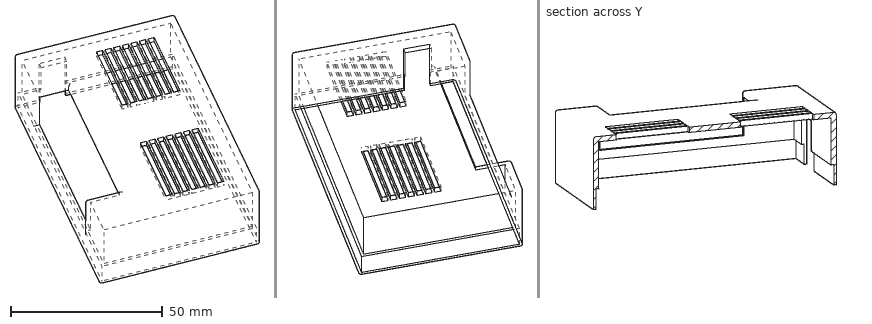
import cadquery as cq

LENGTH = 86.0
WIDTH = 56.0
HEIGHT = 25.0
WALL = 2.0
EDGE_ROUND = WALL / 2

REBATE_DEPTH = WALL / 2
REBATE_HEIGHT = 7.0

WINDOW_LEFT = 19.8 - LENGTH / 2
WINDOW_LENGTH = 50.9
WINDOW_SILL = 10.0
WINDOW_REACH = 12.0

SLOT_LENGTH = 25.7
SLOT_WIDTH = 2.15
SLOT_PITCH = 3.0
SLOT_COUNT = 7
BANK_OFFSET_X = 22.0
BANK_CENTER_Y = 8.0

NOTCH_FRONT_MARGIN = 8.7
NOTCH_WIDTH = 8.95
NOTCH_HEIGHT = 17.4


def box_between(low, high):
    """Box spanning two opposite corners."""
    size = [b - a for a, b in zip(low, high)]
    return cq.Workplane("XY").box(*size, centered=False).translate(low)


def inner_block(wall, height):
    """Block filling the inside of the cover up to a height, for a given wall."""
    return cq.Workplane("XY").box(
        LENGTH - 2 * wall, WIDTH - 2 * wall, height, centered=(True, True, False)
    )


def window_block():
    """Material removed by the window, reaching through the top and the front."""
    front = -WIDTH / 2
    return box_between(
        (WINDOW_LEFT, front, WINDOW_SILL),
        (WINDOW_LEFT + WINDOW_LENGTH, front + WINDOW_REACH, HEIGHT),
    )


def rounded_body():
    """Solid block with the window corner cut away and its outer edges rounded."""
    block = cq.Workplane("XY").box(LENGTH, WIDTH, HEIGHT, centered=(True, True, False))
    block = block.cut(window_block())
    outer_edges = block.faces(">Z or <Y").edges("not <Z")
    back_corners = block.edges("|Z and >Y")
    return block.newObject(outer_edges.vals() + back_corners.vals()).fillet(EDGE_ROUND)


def vent_slots():
    """Both banks of slots, cutting through the top."""
    centers = [
        (side * BANK_OFFSET_X, BANK_CENTER_Y + (i - (SLOT_COUNT - 1) / 2) * SLOT_PITCH)
        for side in (-1, 1)
        for i in range(SLOT_COUNT)
    ]
    return cq.Workplane("XY").pushPoints(centers).rect(SLOT_LENGTH, SLOT_WIDTH).extrude(HEIGHT)


def cable_notch():
    """Block cutting the notch through the left wall only."""
    front = -WIDTH / 2 + NOTCH_FRONT_MARGIN
    return box_between(
        (-LENGTH / 2, front, 0),
        (-LENGTH / 2 + WALL, front + NOTCH_WIDTH, NOTCH_HEIGHT),
    )


result = (
    rounded_body()
    .cut(inner_block(WALL, HEIGHT - WALL))
    .cut(inner_block(WALL - REBATE_DEPTH, REBATE_HEIGHT))
    .cut(vent_slots())
    .cut(cable_notch())
)